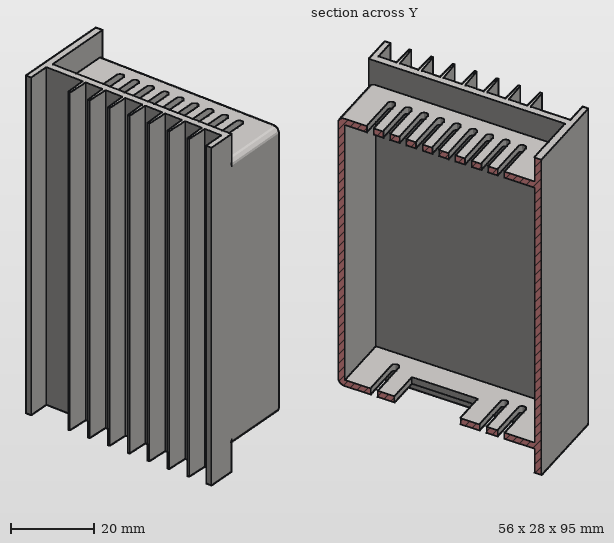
import cadquery as cq

width = 56.0
depth = 28.0
length = 95.0

wall = 2.0
fin_height = 6.1
rib_thickness = 1.6
fin_count = 7
fin_pitch = 6.0
fin_field_center = 31.0
fin_root = 0.95
fin_tip = 0.6
base_back = fin_height + wall

end_recess = 7.2
edge_round = 1.9
edge_chamfer = 0.95
housing_bottom = end_recess
housing_top = length - end_recess

slot_width = 2.0
slot_length = 12.0
slot_y = 18.0
top_slot_count = 9
first_slot_x = 11.1
last_slot_x = 47.0
top_slot_pitch = (last_slot_x - first_slot_x) / (top_slot_count - 1)
bottom_slot_xs = [first_slot_x, 16.1, 46.0]

opening_width = 18.05
opening_depth = 10.0
opening_x = 31.35
opening_front = 14.7


def box(x0, x1, y0, y1, z0, z1):
    """Axis-aligned box between two opposite corners."""
    return cq.Workplane("XY").box(x1 - x0, y1 - y0, z1 - z0, centered=False).translate((x0, y0, z0))


def make_fin(x):
    """Tapered full-length fin centred on x, rooted in the base plate."""
    outline = [
        (x - fin_tip / 2, 0),
        (x + fin_tip / 2, 0),
        (x + fin_root / 2, fin_height),
        (x - fin_root / 2, fin_height),
    ]
    return cq.Workplane("XY").polyline(outline).close().extrude(length)


def make_heat_sink():
    sink = box(0, width, fin_height, base_back, 0, length)
    sink = sink.union(box(0, wall, fin_height, depth, 0, length))
    for rib_x in (0, width - rib_thickness):
        sink = sink.union(box(rib_x, rib_x + rib_thickness, 0, fin_height, 0, length))
    for i in range(fin_count):
        sink = sink.union(make_fin(fin_field_center + (i - (fin_count - 1) / 2) * fin_pitch))
    return sink


def cut_slots(body, centers, wall_bottom):
    """Round-ended slots through one housing end wall."""
    slots = (
        cq.Workplane("XY", origin=(0, slot_y, wall_bottom))
        .pushPoints([(x, 0) for x in centers])
        .slot2D(slot_length, slot_width, 90)
        .extrude(wall)
    )
    return body.cut(slots)


def make_housing():
    shell = box(0, width, fin_height, depth, housing_bottom, housing_top)
    shell = shell.edges(">X and |Y").fillet(edge_round)
    shell = shell.faces(">Y").edges().chamfer(edge_chamfer)
    shell = shell.intersect(box(wall, width, base_back, depth, 0, length))
    cavity = box(wall, width - wall, base_back, depth - wall, housing_bottom + wall, housing_top - wall)
    shell = shell.cut(cavity)

    top_slot_xs = [first_slot_x + i * top_slot_pitch for i in range(top_slot_count)]
    shell = cut_slots(shell, top_slot_xs, housing_top - wall)
    shell = cut_slots(shell, bottom_slot_xs, housing_bottom)
    opening = box(
        opening_x - opening_width / 2,
        opening_x + opening_width / 2,
        opening_front,
        opening_front + opening_depth,
        housing_bottom,
        housing_bottom + wall,
    )
    return shell.cut(opening)


result = make_heat_sink().union(make_housing())